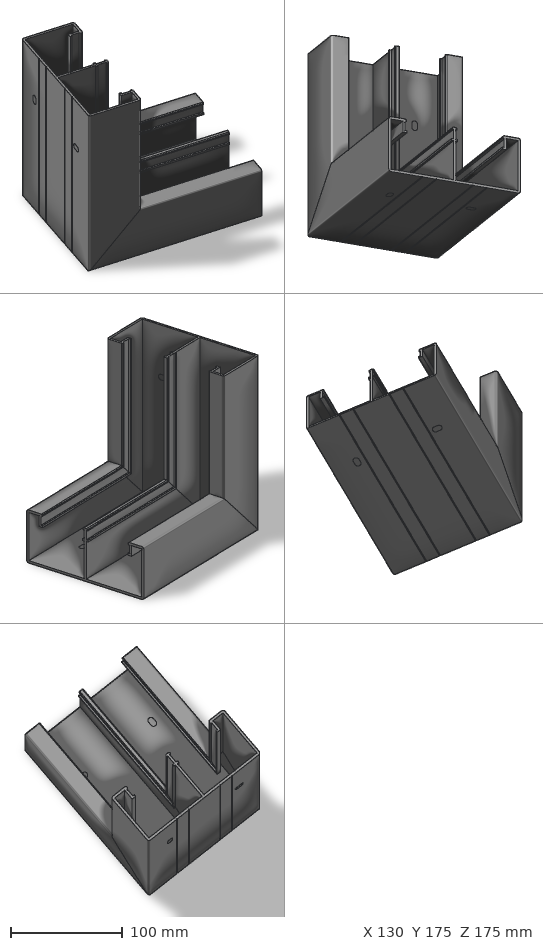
import cadquery as cq


LEG_LENGTH = 175.0
WIDTH = 130.0
DEPTH = 53.0
WALL = 2.5
CORNER_RADIUS = 2.5

WEB = 2.3
LIP_HEIGHT = 13.1
LIP_FACE = 16.1
MOUTH_WIDTH = WIDTH - 2 * LIP_FACE

CATCH_REACH = 1.2
CATCH_CHAMFER = 0.9
CATCH_HEIGHT = 2.1
LIP_CATCH_SLOPE = 1.0
FOOT_REACH = 1.8
FOOT_HEIGHT = 2.0

GROOVE_OFFSETS = (18.0, 31.8)
GROOVE_WIDTH = 1.0
GROOVE_DEPTH = 0.5

SLOT_LENGTH = 9.1
SLOT_WIDTH = 5.6
SLOT_OFFSET = 40.0
SLOT_FROM_END = 52.0
SLOTS = ((-SLOT_OFFSET, 90), (SLOT_OFFSET, 0))


def block(x_min, x_max, y_min, y_max):
    """Full-length bar with a rectangular section."""
    return cq.Workplane("XY").box(
        x_max - x_min, y_max - y_min, LEG_LENGTH, centered=False
    ).translate((x_min, y_min, 0))


def shell():
    """Rounded box section, hollowed and opened at the mouth."""
    outside = block(-WIDTH / 2, WIDTH / 2, 0, DEPTH).edges("|Z").fillet(CORNER_RADIUS)
    inner_half = WIDTH / 2 - WALL
    cavity = block(-inner_half, inner_half, WALL, DEPTH - WALL)
    mouth = block(-MOUTH_WIDTH / 2, MOUTH_WIDTH / 2, WALL, DEPTH)
    return outside.cut(cavity).cut(mouth)


def snap_detail(face_x, side, catch_slope=0):
    """Chamfered catch and square foot on the face at face_x, pointing along side (+1 or -1)."""
    catch = (
        cq.Workplane("XY")
        .moveTo(face_x, DEPTH)
        .lineTo(face_x + side * (CATCH_REACH - CATCH_CHAMFER), DEPTH)
        .lineTo(face_x + side * CATCH_REACH, DEPTH - CATCH_CHAMFER)
        .lineTo(face_x + side * CATCH_REACH, DEPTH - CATCH_HEIGHT)
        .lineTo(face_x, DEPTH - CATCH_HEIGHT - catch_slope)
        .close()
        .extrude(LEG_LENGTH)
    )
    foot_bottom = DEPTH - LIP_HEIGHT
    foot_x = sorted((face_x, face_x + side * FOOT_REACH))
    foot = block(*foot_x, foot_bottom, foot_bottom + FOOT_HEIGHT)
    return catch.union(foot)


def lip(side):
    """Lip below the flange on one side (-1 or +1), its free face towards the middle."""
    free_face = side * MOUTH_WIDTH / 2
    lip_x = sorted((free_face, free_face + side * WEB))
    wall = block(*lip_x, DEPTH - LIP_HEIGHT, DEPTH)
    return wall.union(snap_detail(free_face, -side, LIP_CATCH_SLOPE))


def divider():
    """Middle web from the back to the mouth, with the snap detail on both faces."""
    web = block(-WEB / 2, WEB / 2, 0, DEPTH)
    return web.union(snap_detail(-WEB / 2, -1)).union(snap_detail(WEB / 2, 1))


def groove(x):
    """V-shaped cutter along the outside of the back."""
    return (
        cq.Workplane("XY")
        .moveTo(x - GROOVE_WIDTH / 2, 0)
        .lineTo(x, GROOVE_DEPTH)
        .lineTo(x + GROOVE_WIDTH / 2, 0)
        .close()
        .extrude(LEG_LENGTH)
    )


def mitre_envelope():
    """Everything on the leg's side of the plane y = z."""
    return (
        cq.Workplane("YZ")
        .polyline([(0, 0), (DEPTH, DEPTH), (DEPTH, LEG_LENGTH), (0, LEG_LENGTH)])
        .close()
        .extrude(WIDTH / 2, both=True)
    )


def slot_plug(x, turn):
    """Oblong plug filling one fixing slot through the back wall."""
    return (
        cq.Workplane("XZ")
        .center(x, LEG_LENGTH - SLOT_FROM_END)
        .slot2D(SLOT_LENGTH, SLOT_WIDTH, turn)
        .extrude(-WALL)
    )


def channel_leg(plugs):
    """Upright mitred channel with holes for the plugs."""
    leg = shell().union(lip(-1)).union(lip(1)).union(divider())
    for offset in GROOVE_OFFSETS:
        leg = leg.cut(groove(-offset)).cut(groove(offset))
    leg = leg.intersect(mitre_envelope())
    for plug in plugs:
        leg = leg.cut(plug)
    return leg


def lay_down(body):
    """Half turn about the mitre diagonal: swaps Y with Z and reverses X."""
    return body.rotate((0, 0, 0), (0, 1, 1), 180)


upright_plugs = [slot_plug(x, turn) for x, turn in SLOTS]
upright_leg = channel_leg(upright_plugs)

upright_bodies = [upright_leg, *upright_plugs]
lying_bodies = [lay_down(body) for body in upright_bodies]

result = cq.Compound.makeCompound([body.val() for body in upright_bodies + lying_bodies])